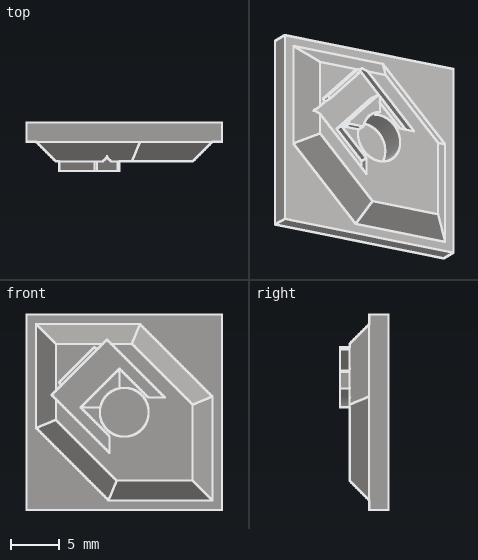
import cadquery as cq
import math

plate_side = 20.0
plate_thickness = 2.0

platform_half_side = 9.0
platform_half_diagonal = 7.5
platform_height = 2.0
platform_slope = 45.0

pocket_half_width = 4.0
pocket_inner_half_width = 2.8
pocket_far = 6.5
pocket_near = 3.5
pocket_arm_end = 1.5
pocket_depth = 1.0

boss_height = 1.0
boss_half_width = 2.55
lip_thickness = 0.37
block_edge = 0.5

hole_diameter = 5.0
hole_depth = 3.0

platform_face = plate_thickness + platform_height


def front_plane(height):
    """Sketch plane facing -Y at the given height above the plate's back, with x = X and y = Z."""
    return cq.Workplane("XZ", origin=(0, -height, 0))


def diagonal_point(across, along):
    """XZ point from distances across and along the diagonal that rises towards -X."""
    root = math.sqrt(2)
    return ((across - along) / root, (across + along) / root)


def diagonal_box(half_width, start, end, base, height):
    """Box aligned with the diagonal, centred across it and rising from the base height."""
    corners = [
        diagonal_point(-half_width, start),
        diagonal_point(-half_width, end),
        diagonal_point(half_width, end),
        diagonal_point(half_width, start),
    ]
    return front_plane(base).polyline(corners).close().extrude(height)


def corner_box(edge, base, height):
    """Square box filling the -X, +Z quarter beyond the given distance from the centre planes."""
    size = plate_side / 2
    return front_plane(base).moveTo(-edge, edge).rect(-size, size, centered=False).extrude(height)


def make_plate():
    return front_plane(0).rect(plate_side, plate_side).extrude(plate_thickness)


def make_platform():
    side = platform_half_side
    cut = platform_half_diagonal * math.sqrt(2) - side
    outline = [(-side, side), (cut, side), (side, cut), (side, -side), (-cut, -side), (-side, -cut)]
    sketch = front_plane(plate_thickness).polyline(outline).close()
    return sketch.extrude(platform_height, taper=platform_slope)


def make_pocket():
    floor = platform_face - pocket_depth
    arm_reach = pocket_half_width - pocket_arm_end * math.sqrt(2)
    outer = diagonal_box(pocket_half_width, -arm_reach, pocket_far, floor, pocket_depth)
    island = diagonal_box(pocket_inner_half_width, -arm_reach, pocket_near, floor, pocket_depth)
    end_limits = (
        front_plane(floor)
        .polyline(
            [
                (-plate_side / 2, plate_side / 2),
                (plate_side / 2, plate_side / 2),
                (plate_side / 2, pocket_arm_end),
                (-pocket_arm_end, pocket_arm_end),
                (-pocket_arm_end, -plate_side / 2),
                (-plate_side / 2, -plate_side / 2),
            ]
        )
        .close()
        .extrude(pocket_depth)
    )
    return outer.cut(island).intersect(end_limits)


def make_lip():
    return diagonal_box(boss_half_width, pocket_far, pocket_far + lip_thickness, platform_face, boss_height)


def make_block():
    block = diagonal_box(boss_half_width, 0, pocket_near, platform_face, boss_height)
    return block.intersect(corner_box(block_edge, platform_face, boss_height))


def make_hole():
    total_depth = hole_depth + boss_height
    return front_plane(platform_face - hole_depth).circle(hole_diameter / 2).extrude(total_depth)


result = (
    make_plate()
    .union(make_platform())
    .cut(make_pocket())
    .union(make_lip())
    .union(make_block())
    .cut(make_hole())
)